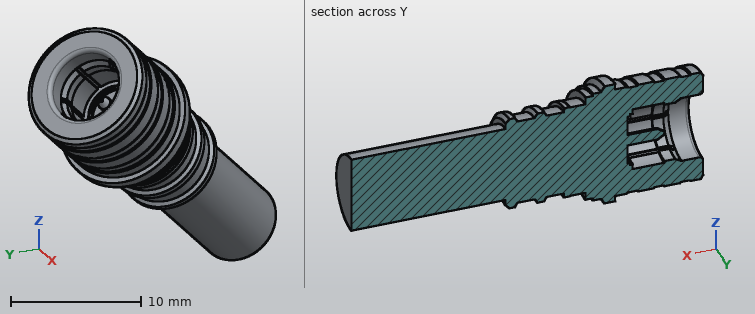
import cadquery as cq
import math

LENGTH = 29.0

BODY_RADIUS = 4.78
BODY_END = 9.1
MOUTH_CHAMFER_LENGTH = 0.2
MOUTH_CHAMFER_HEIGHT = 0.35
GROOVE_DEPTH = 0.1
GROOVE_SIDE = 0.1
LAST_GROOVE_SIDE = 0.17
GROOVE_FLOOR_WIDTH = 0.72
GROOVE_START = 1.02
GROOVE_PITCH = 2.18
GROOVE_COUNT = 3

FLANGE_RADIUS = 5.25
FLANGE_START = 7.25
FLANGE_RIM_END = 8.15
FLANGE_END = 8.45

COLLAR_RADIUS = 4.58
COLLAR_END = 9.72
NECK_RADIUS = 3.97
NECK_END = 11.02
NECK_BAND_RADIUS = 4.0
NECK_BAND_END = 11.48

BARREL_RADIUS = 3.65
RIDGE_RADIUS = NECK_BAND_RADIUS
RIDGE_FRONT_BEVEL = 0.2
RIDGE_CREST_WIDTH = 0.55
RIDGE_BACK_BEVEL = 0.25
RIDGE_START = 12.9
LAST_RIDGE_START = 15.3
LAST_RIDGE_BACK_BEVEL = 0.32
BARREL_END = 16.3

CABLE_RADIUS = 3.2

BORE_RADIUS = 2.78
BORE_ROUND = 0.35
BORE_DEPTH = 1.8
RING_RADIUS = 2.5
RING_CONE_END = 2.32
RING_END = 3.22
UNDERCUT_RADIUS = 2.65
FLOOR_DEPTH = 5.8
SLOT_COUNT = 6
SLOT_WIDTH = 0.3
SLOT_OUTER_RADIUS = 2.75

RECESS_OUTER_RADIUS = 2.25
RECESS_RADIUS = 2.05
RECESS_STEP = 0.2
LEDGE_DEPTH = FLOOR_DEPTH + RECESS_STEP
RECESS_FLOOR = LEDGE_DEPTH + RECESS_STEP

PIN_RADIUS = 0.5
PIN_TIP_RADIUS = 0.15
PIN_TIP_START = 3.2
PIN_TIP_LENGTH = 0.58


def revolve_about_x(outline):
    """Revolve a closed (X, radius) outline about the X axis."""
    return outline.close().revolve(360, (0, 0, 0), (1, 0, 0))


def groove_points(start, back_side):
    """Sloped-sided grip groove in the body surface."""
    floor_start = start + GROOVE_SIDE
    floor_end = floor_start + GROOVE_FLOOR_WIDTH
    floor_radius = BODY_RADIUS - GROOVE_DEPTH
    return [
        (start, BODY_RADIUS),
        (floor_start, floor_radius),
        (floor_end, floor_radius),
        (floor_end + back_side, BODY_RADIUS),
    ]


def ridge_points(start, crest_width, back_bevel):
    """Bevelled ridge standing on the barrel."""
    crest_start = start + RIDGE_FRONT_BEVEL
    crest_end = crest_start + crest_width
    return [
        (start, BARREL_RADIUS),
        (crest_start, RIDGE_RADIUS),
        (crest_end, RIDGE_RADIUS),
        (crest_end + back_bevel, BARREL_RADIUS),
    ]


def make_outside():
    points = [(0, 0), (0, BODY_RADIUS - MOUTH_CHAMFER_HEIGHT), (MOUTH_CHAMFER_LENGTH, BODY_RADIUS)]
    for index in range(GROOVE_COUNT):
        is_last = index == GROOVE_COUNT - 1
        back_side = LAST_GROOVE_SIDE if is_last else GROOVE_SIDE
        points += groove_points(GROOVE_START + index * GROOVE_PITCH, back_side)
    points += [
        (FLANGE_START, BODY_RADIUS),
        (FLANGE_START, FLANGE_RADIUS),
        (FLANGE_RIM_END, FLANGE_RADIUS),
        (FLANGE_END, BODY_RADIUS),
        (BODY_END, BODY_RADIUS),
        (BODY_END, COLLAR_RADIUS),
        (COLLAR_END, COLLAR_RADIUS),
        (COLLAR_END, NECK_RADIUS),
        (NECK_END, NECK_RADIUS),
        (NECK_END, NECK_BAND_RADIUS),
        (NECK_BAND_END, NECK_BAND_RADIUS),
        (NECK_BAND_END, BARREL_RADIUS),
    ]
    points += ridge_points(RIDGE_START, RIDGE_CREST_WIDTH, RIDGE_BACK_BEVEL)
    last_crest_width = (
        BARREL_END - LAST_RIDGE_START - RIDGE_FRONT_BEVEL - LAST_RIDGE_BACK_BEVEL
    )
    points += ridge_points(LAST_RIDGE_START, last_crest_width, LAST_RIDGE_BACK_BEVEL)
    points += [(BARREL_END, CABLE_RADIUS), (LENGTH, CABLE_RADIUS), (LENGTH, 0)]
    return revolve_about_x(cq.Workplane("XY").polyline(points))


def make_socket():
    """Rounded mouth, bore, coned contact ring, undercut and recessed floor."""
    mouth_radius = BORE_RADIUS + BORE_ROUND
    round_reach = BORE_ROUND * math.cos(math.radians(45))
    arc_middle = (BORE_ROUND - round_reach, mouth_radius - round_reach)
    outline = (
        cq.Workplane("XY")
        .moveTo(0, 0)
        .lineTo(0, mouth_radius)
        .threePointArc(arc_middle, (BORE_ROUND, BORE_RADIUS))
        .lineTo(BORE_DEPTH, BORE_RADIUS)
        .lineTo(RING_CONE_END, RING_RADIUS)
        .lineTo(RING_END, RING_RADIUS)
        .lineTo(RING_END, UNDERCUT_RADIUS)
        .lineTo(FLOOR_DEPTH, UNDERCUT_RADIUS)
        .lineTo(FLOOR_DEPTH, RECESS_OUTER_RADIUS)
        .lineTo(LEDGE_DEPTH, RECESS_OUTER_RADIUS)
        .lineTo(LEDGE_DEPTH, RECESS_RADIUS)
        .lineTo(RECESS_FLOOR, RECESS_RADIUS)
        .lineTo(RECESS_FLOOR, 0)
    )
    return revolve_about_x(outline)


def make_slots():
    """Radial slots from the contact ring to the floor, just short of the bore radius."""
    slot_length = FLOOR_DEPTH - BORE_DEPTH
    limit = cq.Workplane("YZ").workplane(offset=BORE_DEPTH).circle(SLOT_OUTER_RADIUS).extrude(slot_length)
    bars = cq.Workplane("XY")
    for index in range(SLOT_COUNT // 2):
        bar = (
            cq.Workplane("XY")
            .box(slot_length, 2 * FLANGE_RADIUS, SLOT_WIDTH)
            .translate((BORE_DEPTH + slot_length / 2, 0, 0))
            .rotate((0, 0, 0), (1, 0, 0), index * 360 / SLOT_COUNT)
        )
        bars = bars.union(bar)
    return bars.intersect(limit)


def make_pin():
    """Centre pin with a blunt conical tip, rooted in the recess floor."""
    points = [
        (PIN_TIP_START, 0),
        (PIN_TIP_START, PIN_TIP_RADIUS),
        (PIN_TIP_START + PIN_TIP_LENGTH, PIN_RADIUS),
        (RECESS_FLOOR, PIN_RADIUS),
        (RECESS_FLOOR, 0),
    ]
    return revolve_about_x(cq.Workplane("XY").polyline(points))


result = make_outside().cut(make_socket()).cut(make_slots()).union(make_pin())